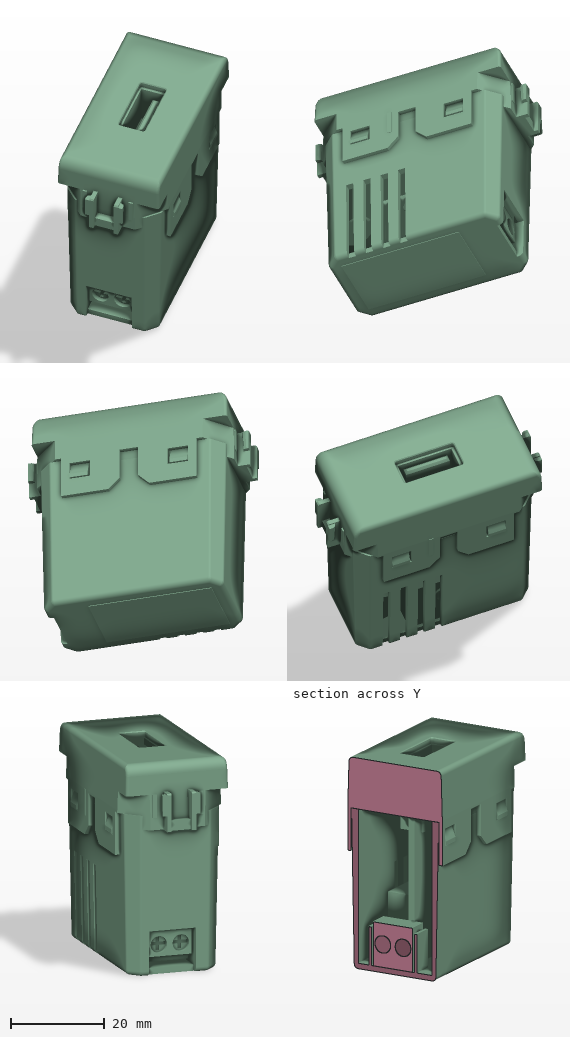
import cadquery as cq
import math

TOTAL_HEIGHT = 47.25
JOINT_Z = 35.75
DRAFT_START_Z = 36.25
NOTCH_TOP_Z = 40.55
END_PLATE_Z = 32.75

COVER_HALF_X = 11.75
COVER_HALF_Y = 21.85
COVER_DRAFT_ANGLE = 1.7
COVER_DRAFT = math.tan(math.radians(COVER_DRAFT_ANGLE))
SIDE_ROUND = 1.15
END_ROUND = 2.4
CORNER_ROUND = 0.65
CORNER_BEVEL = 5.55
RIM_CHAMFER = 0.2

HOUSING_HALF_X = 10.85
HOUSING_HALF_Y = 20.65
HOUSING_DRAFT = 1.1
HOUSING_BEVEL = 2.85
HOUSING_EDGE_ROUND = 0.75
HOUSING_BOTTOM_ROUND = 1.1
CAVITY_HALF_X = 9.0
CAVITY_HALF_Y = 18.8
FLOOR = 1.45
PAD_HEIGHT = 0.15
PAD_HALF_X = 7.35
PAD_FRONT_Y = -10.2
PAD_BACK_Y = 17.1

FLAP_BOTTOM_Z = 26.2
FLAP_INNER_Y = 2.05
FLAP_OUTER_Y = 15.0
FLAP_CORNER = 2.45
WINDOW_Y = 10.9
WINDOW_WIDTH = 4.5
WINDOW_BOTTOM_Z = 30.35
WINDOW_TOP_Z = 34.25
TOOTH_Y = 11.05
TOOTH_WIDTH = 4.0
TOOTH_TIP_X = 11.95
TOOTH_TIP_TOP_Z = 31.4
TOOTH_BOTTOM_Z = 30.55
GUIDE_RIB_Y = 4.09
GUIDE_RIB_WIDTH = 1.05
GUIDE_RIB_HEIGHT = 0.1
GUIDE_RIB_BOTTOM_Z = 30.55

CLIP_END_Y = 24.5
ARM_INNER_X = 2.3
ARM_OUTER_X = 3.3
ARM_TOP_Z = 41.1
ARM_CHAMFER = 0.3
HOOK_TIP_X = 4.25
HOOK_BEVEL = 0.25
HOOK_TIP_BEVEL = 0.65
HOOK_BOTTOM_Z = DRAFT_START_Z
HOOK_TOP_Z = 40.75
HOOK_BACK_TOP_Y = 23.15
HOOK_BACK_BOTTOM_Y = 23.35
SHELF_HALF_X = ARM_INNER_X
SHELF_END_Y = 23.55
SHELF_TOP_Z = 34.95
END_RIB_X = 5.25
END_RIB_WIDTH = 1.0
END_RIB_Y = 22.05
END_RIB_BOTTOM_Z = 35.5

SOCKET_X = -0.25
SOCKET_WIDTH = 6.0
SOCKET_LENGTH = 13.6
SOCKET_ROUND = 0.5
SOCKET_DEPTH = 1.35
SOCKET_TOP_Z = TOTAL_HEIGHT - SOCKET_DEPTH
SOCKET_BASE_Z = 30.4
MOUTH_WIDTH = 5.1
MOUTH_LENGTH = 12.4
MOUTH_DEPTH = 8.8
TONGUE_X = 1.05
TONGUE_WIDTH = 1.55
TONGUE_LENGTH = 10.1
TONGUE_TOP_Z = 45.2
TONGUE_CHAMFER = 0.5

BOARD_X = 0.75
BOARD_THICKNESS = 1.45
BOARD_FRONT_Y = -9.8
BOARD_BACK_Y = 18.15
BOARD_TOP_Z = 35.3
CAPACITOR_FACE_X = -6.85
CAPACITOR_RADIUS = 3.95
CAPACITOR_Y = 13.85
CAPACITOR_Z = 9.55
COIL_FRONT_Y = -2.95
COIL_BACK_Y = 7.85
COIL_TOP_Z = 14.55
COIL_FACE_X = -8.35
COIL_CORE_FACE_X = -8.8
COIL_CORE_RADIUS = 1.75
COIL_CORE_Y = 0.25
COIL_CORE_Z = 10.5

VENT_COUNT = 4
VENT_WIDTH = 1.65
VENT_PITCH = 4.0
VENT_FIRST_Y = 1.75
VENT_TOP_Z = 20.1

NOTCH_WIDTH = 3.9
NOTCH_DEPTH = 0.1
NOTCH_BOTTOM_Z = 33.7

OPENING_LEFT_X = -5.85
OPENING_RIGHT_X = 4.8
OPENING_TOP_Z = 10.05
SILL_Y = -18.5
TUNNEL_WALL = 0.75
BLOCK_X = -0.55
BLOCK_WIDTH = 9.8
BLOCK_FRONT_Y = -18.35
BLOCK_FACE_TOP_Z = 9.3
BLOCK_FACE_BOTTOM_Z = 3.9
BLOCK_FOOT_Z = 2.25
BLOCK_OVERHANG = 1.55
BLOCK_UNDERCUT = 0.9
BLOCK_FOOT_Y = -14.7
BLOCK_STEP = 0.75
BLOCK_TOP_Z = 11.25
SCREW_PITCH = 5.0
SCREW_Z = 6.5
SCREW_RADIUS = 1.85
SCREW_RECESS = 1.0
SCREW_LENGTH = 3.9
CROSS_WIDTH = 0.8
CROSS_HEIGHT = 2.95
CROSS_DEPTH = 0.6


def box(x0, x1, y0, y1, z0, z1):
    """Box between two corners."""
    return cq.Workplane("XY").box(x1 - x0, y1 - y0, z1 - z0, centered=False).translate((x0, y0, z0))


def bevelled_outline(half_x, half_y, bevel):
    """Rectangle in X and Y whose corners are cut at 45 degrees."""
    return [
        (sign_x * x, sign_y * y)
        for sign_x, sign_y in ((1, 1), (-1, 1), (-1, -1), (1, -1))
        for x, y in (
            ((half_x, half_y - bevel), (half_x - bevel, half_y))
            if sign_x * sign_y > 0
            else ((half_x - bevel, half_y), (half_x, half_y - bevel))
        )
    ]


def rounded_block(width, length, z0, z1):
    """Upright block on the socket axis with rounded corners."""
    block = cq.Workplane("XY").box(width, length, z1 - z0, centered=(True, True, False))
    return block.edges("|Z").fillet(SOCKET_ROUND).translate((SOCKET_X, 0, z0))


def leaning_section(plane, half_width, half_depth):
    """Upper cover section whose two sides lean inwards, extruded to both sides of the plane."""
    top_half = half_width - (TOTAL_HEIGHT - DRAFT_START_Z) * COVER_DRAFT
    outline = [
        (-half_width, DRAFT_START_Z),
        (half_width, DRAFT_START_Z),
        (top_half, TOTAL_HEIGHT),
        (-top_half, TOTAL_HEIGHT),
    ]
    return cq.Workplane(plane).polyline(outline).close().extrude(half_depth, both=True)


def cover_cap():
    """Leaning cap with wide rounds on its ends, narrower ones on its sides and softened corners."""
    side_section = leaning_section("XZ", COVER_HALF_X, COVER_HALF_Y)
    end_section = leaning_section("YZ", COVER_HALF_Y, COVER_HALF_X)
    end_section = end_section.faces(">Z").edges("|X").fillet(END_ROUND)
    cap = side_section.intersect(end_section)
    for side in (">X", "<X"):
        cap = cap.faces(side).edges("not <Z").fillet(CORNER_ROUND)
    return cap.intersect(side_section.faces(">Z").edges("|Y").fillet(SIDE_ROUND))


def cover_shell():
    """Cap with bevelled lower corners and an end plate hanging below each short side."""
    skirt = box(
        -COVER_HALF_X, COVER_HALF_X, -COVER_HALF_Y, COVER_HALF_Y, END_PLATE_Z, DRAFT_START_Z
    )
    lower_outline = bevelled_outline(COVER_HALF_X, COVER_HALF_Y, CORNER_BEVEL)
    lower_limit = cq.Workplane("XY").workplane(offset=END_PLATE_Z).polyline(lower_outline).close()
    lower_limit = lower_limit.extrude(NOTCH_TOP_Z - END_PLATE_Z)
    upper_limit = box(
        -COVER_HALF_X, COVER_HALF_X, -COVER_HALF_Y, COVER_HALF_Y, NOTCH_TOP_Z, TOTAL_HEIGHT
    )
    cap = cover_cap().union(skirt).intersect(lower_limit.union(upper_limit))
    below_joint = box(
        -COVER_HALF_X, COVER_HALF_X, -HOUSING_HALF_Y, HOUSING_HALF_Y, END_PLATE_Z, JOINT_Z
    )
    return cap.cut(below_joint)


def flap():
    """Side flap on +X, +Y with a snap window and a cut lower corner."""
    outline = [
        (FLAP_INNER_Y, DRAFT_START_Z),
        (FLAP_INNER_Y, FLAP_BOTTOM_Z + FLAP_CORNER),
        (FLAP_INNER_Y + FLAP_CORNER, FLAP_BOTTOM_Z),
        (FLAP_OUTER_Y, FLAP_BOTTOM_Z),
        (FLAP_OUTER_Y, DRAFT_START_Z),
    ]
    plate = cq.Workplane("YZ").workplane(offset=HOUSING_HALF_X).polyline(outline).close()
    plate = plate.extrude(COVER_HALF_X - HOUSING_HALF_X)
    window = box(
        HOUSING_HALF_X,
        COVER_HALF_X,
        WINDOW_Y - WINDOW_WIDTH / 2,
        WINDOW_Y + WINDOW_WIDTH / 2,
        WINDOW_BOTTOM_Z,
        WINDOW_TOP_Z,
    )
    return plate.cut(window)


def clip_arm():
    """Clip arm on +X, +Y with an outward hook whose back leans towards the tip."""
    arm = box(ARM_INNER_X, ARM_OUTER_X, HOUSING_HALF_Y, CLIP_END_Y, END_PLATE_Z, ARM_TOP_Z)
    arm = arm.faces(">Y").edges(">Z").chamfer(ARM_CHAMFER)

    def hook_section(back_y):
        return [
            (ARM_OUTER_X, CLIP_END_Y),
            (ARM_OUTER_X, back_y - HOOK_BEVEL),
            (HOOK_TIP_X - HOOK_BEVEL, back_y),
            (HOOK_TIP_X, back_y + HOOK_TIP_BEVEL),
            (HOOK_TIP_X, CLIP_END_Y),
        ]

    hook = cq.Workplane("XY").workplane(offset=HOOK_BOTTOM_Z)
    hook = hook.polyline(hook_section(HOOK_BACK_BOTTOM_Y)).close()
    hook = hook.workplane(offset=HOOK_TOP_Z - HOOK_BOTTOM_Z)
    hook = hook.polyline(hook_section(HOOK_BACK_TOP_Y)).close().loft(ruled=True)
    return arm.union(hook)


def end_rib():
    """Narrow upright rib on the +Y end plate."""
    left = END_RIB_X - END_RIB_WIDTH / 2
    right = END_RIB_X + END_RIB_WIDTH / 2
    return box(left, right, HOUSING_HALF_Y, END_RIB_Y, END_RIB_BOTTOM_Z, NOTCH_TOP_Z)


def four_ways(piece):
    """The piece and its mirror images across X and Y."""
    pair = piece.union(piece.mirror("YZ"))
    return pair.union(pair.mirror("XZ"))


def make_cover():
    cover = cover_shell()
    for piece in (flap(), clip_arm(), end_rib()):
        cover = cover.union(four_ways(piece))
    shelf = box(-SHELF_HALF_X, SHELF_HALF_X, HOUSING_HALF_Y, SHELF_END_Y, END_PLATE_Z, SHELF_TOP_Z)
    cover = cover.union(shelf).union(shelf.mirror("XZ"))
    guide_rib = box(
        -COVER_HALF_X - GUIDE_RIB_HEIGHT,
        -HOUSING_HALF_X,
        GUIDE_RIB_Y - GUIDE_RIB_WIDTH / 2,
        GUIDE_RIB_Y + GUIDE_RIB_WIDTH / 2,
        GUIDE_RIB_BOTTOM_Z,
        DRAFT_START_Z,
    )
    cover = cover.union(guide_rib)
    cover = cover.cut(rounded_block(SOCKET_WIDTH, SOCKET_LENGTH, JOINT_Z, TOTAL_HEIGHT))
    rim = cq.selectors.BoxSelector(
        (SOCKET_X - SOCKET_WIDTH, -SOCKET_LENGTH, TOTAL_HEIGHT - RIM_CHAMFER),
        (SOCKET_X + SOCKET_WIDTH, SOCKET_LENGTH, TOTAL_HEIGHT + RIM_CHAMFER),
    )
    return cover.edges(rim).chamfer(RIM_CHAMFER)


def housing_shell():
    """Tapered cup with bevelled corners, rounded edges and a flat floor."""
    outline = bevelled_outline(HOUSING_HALF_X, HOUSING_HALF_Y, HOUSING_BEVEL)
    body = cq.Workplane("XY").workplane(offset=JOINT_Z).polyline(outline).close()
    body = body.extrude(PAD_HEIGHT - JOINT_Z, taper=HOUSING_DRAFT)
    body = body.edges("not(#Z)").fillet(HOUSING_EDGE_ROUND)
    body = body.faces("<Z").edges().fillet(HOUSING_BOTTOM_ROUND)
    cavity_outline = bevelled_outline(CAVITY_HALF_X, CAVITY_HALF_Y, HOUSING_BEVEL)
    cavity = cq.Workplane("XY").workplane(offset=FLOOR).polyline(cavity_outline).close()
    return body.cut(cavity.extrude(JOINT_Z - FLOOR))


def tooth():
    """Snap tooth on +X, +Y with a ramp on its upper side."""
    outline = [
        (CAVITY_HALF_X, WINDOW_TOP_Z),
        (HOUSING_HALF_X, WINDOW_TOP_Z),
        (TOOTH_TIP_X, TOOTH_TIP_TOP_Z),
        (TOOTH_TIP_X, TOOTH_BOTTOM_Z),
        (CAVITY_HALF_X, TOOTH_BOTTOM_Z),
    ]
    wedge = cq.Workplane("XZ").polyline(outline).close().extrude(-TOOTH_WIDTH)
    return wedge.translate((0, TOOTH_Y - TOOTH_WIDTH / 2, 0))


def make_housing():
    housing = housing_shell().union(four_ways(tooth()))
    pad = box(-PAD_HALF_X, PAD_HALF_X, PAD_FRONT_Y, PAD_BACK_Y, 0, PAD_HEIGHT)
    housing = housing.union(pad)
    for inner_x, outer_x in (
        (OPENING_LEFT_X - TUNNEL_WALL, OPENING_LEFT_X),
        (OPENING_RIGHT_X, OPENING_RIGHT_X + TUNNEL_WALL),
    ):
        wall = box(inner_x, outer_x, -CAVITY_HALF_Y, BOARD_FRONT_Y, FLOOR, OPENING_TOP_Z)
        housing = housing.union(wall)
    for index in range(VENT_COUNT):
        y = VENT_FIRST_Y + index * VENT_PITCH
        vent = box(
            -HOUSING_HALF_X, -CAVITY_HALF_X, y - VENT_WIDTH / 2, y + VENT_WIDTH / 2, 0, VENT_TOP_Z
        )
        housing = housing.cut(vent)
    notch = box(
        -HOUSING_HALF_X,
        -HOUSING_HALF_X + NOTCH_DEPTH,
        -NOTCH_WIDTH / 2,
        NOTCH_WIDTH / 2,
        NOTCH_BOTTOM_Z,
        JOINT_Z,
    )
    housing = housing.cut(notch).cut(notch.mirror("YZ"))
    opening = box(
        OPENING_LEFT_X, OPENING_RIGHT_X, -HOUSING_HALF_Y, -CAVITY_HALF_Y + 0.5, FLOOR, OPENING_TOP_Z
    )
    sill = box(OPENING_LEFT_X, OPENING_RIGHT_X, -HOUSING_HALF_Y, SILL_Y, 0, FLOOR)
    return housing.cut(opening).cut(sill)


def usb_socket():
    """Socket shell with a rectangular mouth and a contact tongue with a chamfered top."""
    shell = rounded_block(SOCKET_WIDTH, SOCKET_LENGTH, SOCKET_BASE_Z, SOCKET_TOP_Z)
    mouth_floor_z = SOCKET_TOP_Z - MOUTH_DEPTH
    mouth = cq.Workplane("XY").box(
        MOUTH_WIDTH, MOUTH_LENGTH, MOUTH_DEPTH, centered=(True, True, False)
    )
    shell = shell.cut(mouth.translate((SOCKET_X, 0, mouth_floor_z)))
    tongue = cq.Workplane("XY").box(
        TONGUE_WIDTH, TONGUE_LENGTH, TONGUE_TOP_Z - mouth_floor_z, centered=(True, True, False)
    )
    tongue = tongue.faces(">Z").edges().chamfer(TONGUE_CHAMFER)
    return shell.union(tongue.translate((TONGUE_X, 0, mouth_floor_z)))


def standing_cylinder(radius, y, z, face_x):
    """Cylinder along X from the board to the given face."""
    return (
        cq.Workplane("YZ").workplane(offset=face_x).center(y, z).circle(radius).extrude(BOARD_X - face_x)
    )


def make_charger_module():
    """Upright circuit board with its components and the USB socket on its top."""
    board = box(
        BOARD_X, BOARD_X + BOARD_THICKNESS, BOARD_FRONT_Y, BOARD_BACK_Y, FLOOR, BOARD_TOP_Z
    )
    coil = box(COIL_FACE_X, BOARD_X, COIL_FRONT_Y, COIL_BACK_Y, FLOOR, COIL_TOP_Z)
    core = standing_cylinder(COIL_CORE_RADIUS, COIL_CORE_Y, COIL_CORE_Z, COIL_CORE_FACE_X)
    capacitor = standing_cylinder(CAPACITOR_RADIUS, CAPACITOR_Y, CAPACITOR_Z, CAPACITOR_FACE_X)
    module = usb_socket()
    module = module.union(board)
    for component in (coil, core, capacitor):
        module = module.union(component)
    return module


def screw_hole_positions():
    return [BLOCK_X + side * SCREW_PITCH / 2 for side in (-1, 1)]


def front_cylinder(x, front_y, length):
    """Cylinder of screw diameter running in +Y from the given front."""
    cylinder = cq.Workplane("XZ").circle(SCREW_RADIUS).extrude(-length)
    return cylinder.translate((x, front_y, SCREW_Z))


def make_terminal_block():
    profile = [
        (BLOCK_FRONT_Y, BLOCK_FACE_TOP_Z),
        (BLOCK_FRONT_Y, BLOCK_FACE_BOTTOM_Z),
        (BLOCK_FRONT_Y + BLOCK_OVERHANG, BLOCK_FACE_BOTTOM_Z),
        (BLOCK_FRONT_Y + BLOCK_OVERHANG + BLOCK_UNDERCUT, BLOCK_FOOT_Z),
        (BLOCK_FOOT_Y, BLOCK_FOOT_Z),
        (BLOCK_FOOT_Y, FLOOR),
        (BOARD_FRONT_Y, FLOOR),
        (BOARD_FRONT_Y, BLOCK_TOP_Z),
        (BLOCK_FRONT_Y + BLOCK_STEP, BLOCK_TOP_Z),
        (BLOCK_FRONT_Y + BLOCK_STEP, BLOCK_FACE_TOP_Z),
    ]
    block = cq.Workplane("YZ").polyline(profile).close().extrude(BLOCK_WIDTH / 2, both=True)
    block = block.translate((BLOCK_X, 0, 0))
    for x in screw_hole_positions():
        block = block.cut(front_cylinder(x, BLOCK_FRONT_Y, SCREW_RECESS + SCREW_LENGTH))
    return block


def make_screw(x):
    """Screw with a cross slot, sunk below the face of the terminal block."""
    head_y = BLOCK_FRONT_Y + SCREW_RECESS
    screw = front_cylinder(x, head_y, SCREW_LENGTH)
    for width, height in ((2 * SCREW_RADIUS, CROSS_WIDTH), (CROSS_WIDTH, CROSS_HEIGHT)):
        slot = cq.Workplane("XY").box(width, 2 * CROSS_DEPTH, height)
        screw = screw.cut(slot.translate((x, head_y, SCREW_Z)))
    return screw


cover = make_cover()
housing = make_housing()
charger_module = make_charger_module()
terminal_block = make_terminal_block()
screws = [make_screw(x) for x in screw_hole_positions()]

result = cq.Compound.makeCompound(
    [cover.val(), housing.val(), charger_module.val(), terminal_block.val(), *[s.val() for s in screws]]
)